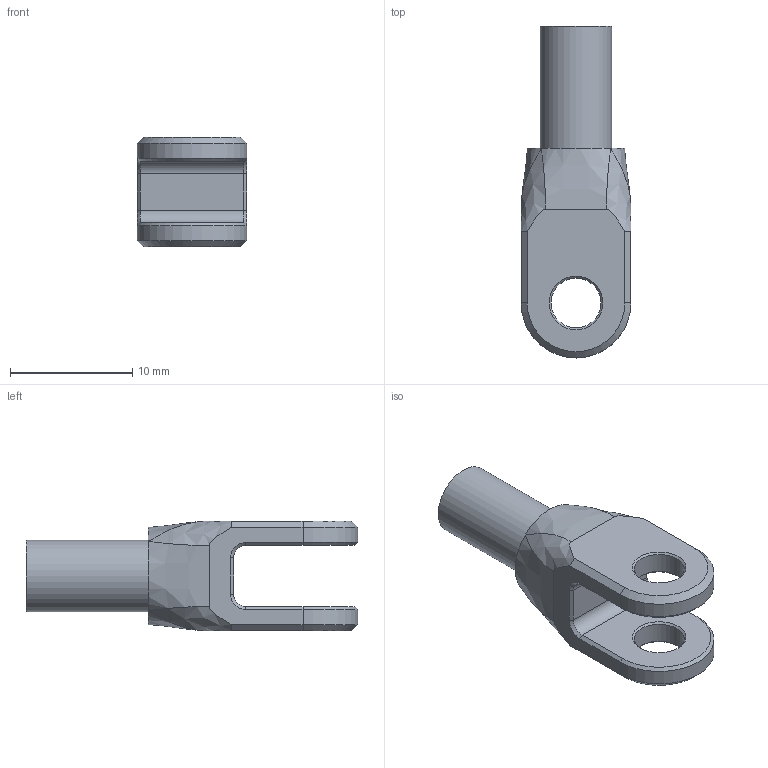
import cadquery as cq
import math


WIDTH = 9.0
TOTAL_LENGTH = 27.19
EDGE_CHAMFER = 0.5

STUD_LENGTH = 10.0
STUD_DIAMETER = 5.85

SHOULDER_RADIUS = 4.0
NECK_LENGTH = 5.0
CORNER_LENGTH = 6.85
NECK_FLAT_HALF = 2.5
TAIL_BEND = 2.95
RIDGE_AT_MIDDLE = 3.4
RIDGE_AT_FLAT = 3.9

SLOT_WIDTH = 5.0
SLOT_TO_SHOULDER = 7.0
SLOT_FILLET = 1.0
SLOT_CHAMFER = 0.25

PIN_DIAMETER = 4.1
PIN_CHAMFER = 0.15

MARGIN = 0.05

HALF = WIDTH / 2
FLAT_END_HALF = HALF - EDGE_CHAMFER
TIP_Y = -HALF
SHOULDER_Y = TIP_Y + TOTAL_LENGTH - STUD_LENGTH
FLAT_Y = SHOULDER_Y - NECK_LENGTH
NECK_MIDDLE_Y = (SHOULDER_Y + FLAT_Y) / 2
CHAMFER_Y = SHOULDER_Y - CORNER_LENGTH
SLOT_Y = SHOULDER_Y - SLOT_TO_SHOULDER
ROUND_45 = SHOULDER_RADIUS * math.sqrt(0.5)


def turned(shape, turns):
    """Shape rotated about the Y axis by a number of quarter turns."""
    return shape.rotate(cq.Vector(0, 0, 0), cq.Vector(0, 1, 0), 90 * turns)


def line(start, end):
    return cq.Edge.makeLine(cq.Vector(*start), cq.Vector(*end))


def bezier(*points):
    return cq.Edge.makeBezier([cq.Vector(*point) for point in points])


def shoulder_arc():
    """Top quarter of the shoulder circle."""
    return cq.Edge.makeThreePointArc(
        cq.Vector(-ROUND_45, SHOULDER_Y, ROUND_45),
        cq.Vector(0, SHOULDER_Y, SHOULDER_RADIUS),
        cq.Vector(ROUND_45, SHOULDER_Y, ROUND_45),
    )


def straight_edge():
    """Edge where the top blend meets the top flat."""
    return line((-NECK_FLAT_HALF, FLAT_Y, HALF), (NECK_FLAT_HALF, FLAT_Y, HALF))


def seam(side):
    """Curve from a 45 degree point of the shoulder to an end of the straight edge."""
    return bezier(
        (side * ROUND_45, SHOULDER_Y, ROUND_45),
        (side * NECK_FLAT_HALF, NECK_MIDDLE_Y, HALF),
        (side * NECK_FLAT_HALF, FLAT_Y, HALF),
    )


def tail(side):
    """Curved edge of the top flat, from the straight edge to the start of a chamfer."""
    return bezier(
        (side * NECK_FLAT_HALF, FLAT_Y, HALF),
        (side * TAIL_BEND, FLAT_Y, HALF),
        (side * FLAT_END_HALF, CHAMFER_Y, HALF),
    )


def blend_face():
    """Smooth face from the shoulder to the top flat, nearly straight along its middle."""
    middle = cq.Vector(0, NECK_MIDDLE_Y, (SHOULDER_RADIUS + HALF) / 2)
    edges = [shoulder_arc(), seam(1), straight_edge(), seam(-1)]
    return cq.Face.makeNSidedSurface(edges, [middle])


def flat_face():
    """Part of the top flat between the straight edge and the start of the chamfers."""
    end = line((-FLAT_END_HALF, CHAMFER_Y, HALF), (FLAT_END_HALF, CHAMFER_Y, HALF))
    return cq.Face.makeFromWires(cq.Wire.assembleEdges([straight_edge(), tail(1), end, tail(-1)]))


def corner_face():
    """Smooth corner from a 45 degree point of the shoulder to the start of a chamfer."""
    end = line((FLAT_END_HALF, CHAMFER_Y, HALF), (HALF, CHAMFER_Y, FLAT_END_HALF))
    edges = [seam(1), tail(1), end, turned(tail(-1), 1), turned(seam(-1), 1)]
    ridge = [
        cq.Vector(RIDGE_AT_MIDDLE, NECK_MIDDLE_Y, RIDGE_AT_MIDDLE),
        cq.Vector(RIDGE_AT_FLAT, FLAT_Y, RIDGE_AT_FLAT),
    ]
    return cq.Face.makeNSidedSurface(edges, ridge, degree=2)


def chamfered_square_face():
    """Section of the body where the chamfers start."""
    square = cq.Workplane("XZ", origin=(0, CHAMFER_Y, 0)).rect(WIDTH, WIDTH).extrude(WIDTH)
    return square.edges("|Y").chamfer(EDGE_CHAMFER).faces(">Y").val()


def make_neck():
    faces = [chamfered_square_face()]
    for turns in range(4):
        for face in (blend_face(), flat_face(), corner_face()):
            faces.append(turned(face, turns))
    shoulder = cq.Wire.assembleEdges([turned(shoulder_arc(), turns) for turns in range(4)])
    faces.append(cq.Face.makeFromWires(shoulder))
    return cq.Workplane(cq.Solid.makeSolid(cq.Shell.makeShell(faces)))


def make_lug_block():
    """Round-tipped block that becomes the two lugs, chamfered around its top and bottom."""
    block = (
        cq.Workplane("XY", origin=(0, 0, -HALF))
        .moveTo(HALF, CHAMFER_Y)
        .lineTo(HALF, 0)
        .threePointArc((0, TIP_Y), (-HALF, 0))
        .lineTo(-HALF, CHAMFER_Y)
        .close()
        .extrude(WIDTH)
    )
    return block.faces("<Z or >Z").edges("not >Y").chamfer(EDGE_CHAMFER)


def make_stud():
    return cq.Workplane("XZ", origin=(0, SHOULDER_Y, 0)).circle(STUD_DIAMETER / 2).extrude(-STUD_LENGTH)


def edges_within(body, half_x, start_y, end_y, half_z):
    """Edges lying wholly inside a box centred on the YZ and XY planes, or on its boundary."""
    low = (-half_x - MARGIN, start_y - MARGIN, -half_z - MARGIN)
    high = (half_x + MARGIN, end_y + MARGIN, half_z + MARGIN)
    return body.edges(cq.selectors.BoxSelector(low, high, boundingbox=True))


def cut_slot(body):
    """Open the fork and chamfer the edges that the slot leaves on the outside."""
    length = 2 * (SLOT_Y - TIP_Y)
    slot = (
        cq.Workplane("XY")
        .box(WIDTH * 2, length, SLOT_WIDTH)
        .translate((0, SLOT_Y - length / 2, 0))
        .edges("|X and >Y")
        .fillet(SLOT_FILLET)
    )
    forked = body.cut(slot)
    rim = edges_within(forked, WIDTH, TIP_Y, SLOT_Y, SLOT_WIDTH / 2).edges("not |X")
    return rim.chamfer(SLOT_CHAMFER)


def cut_pin_hole(body):
    """Bore both lugs and chamfer the bore on their outer and inner faces."""
    bore = cq.Workplane("XY").circle(PIN_DIAMETER / 2).extrude(HALF, both=True)
    radius = PIN_DIAMETER / 2
    hole_edges = edges_within(body.cut(bore), radius, -radius, radius, HALF)
    return hole_edges.edges("%CIRCLE").chamfer(PIN_CHAMFER)


body = make_lug_block().union(make_neck()).union(make_stud()).clean()
result = cut_pin_hole(cut_slot(body))